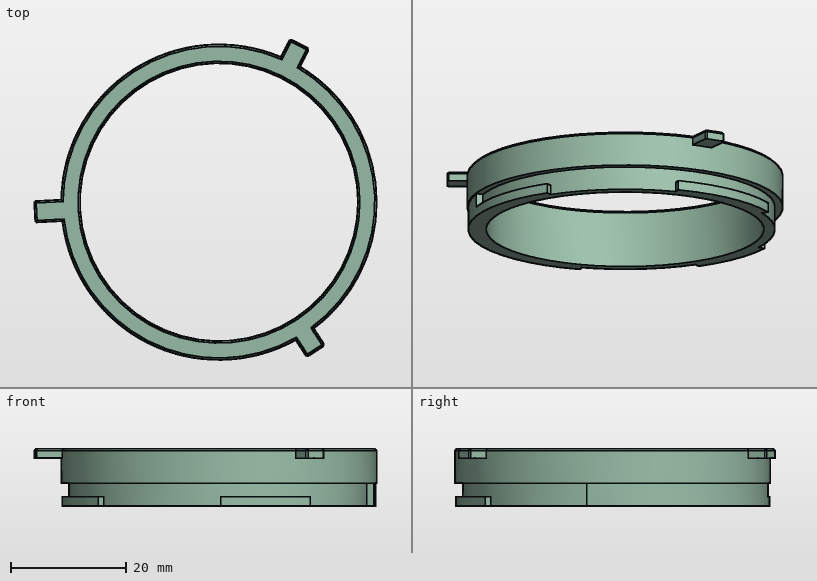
import cadquery as cq
import math

bore_radius = 48.2 / 2
rim_radius = 54.8 / 2
neck_radius = 26.05
total_height = 10.0
neck_height = 4.0
top_chamfer = 0.35

tab_width = 3.75
tab_thickness = 1.65
tab_corner_chamfer = 0.3
tabs = [(183, 32.05), (303, 30.85), (63, 30.85)]

lug_radius = 27.2
lug_height = 1.65
lug_spans = [(82.4, 124), (173.6, 219.7), (270.7, 305.7)]

stop_span = (-9.5, 82.4)

overlap = 0.6


def disc(radius, height, base=0):
    return cq.Workplane("XY").workplane(offset=base).circle(radius).extrude(height)


def tab(angle, reach):
    """Straight radial tab with a flat end and bevelled outer corners."""
    root = neck_radius - overlap
    return (
        cq.Workplane("XY")
        .workplane(offset=total_height - tab_thickness)
        .center((root + reach) / 2, 0)
        .rect(reach - root, tab_width)
        .extrude(tab_thickness)
        .edges("|Z and >X")
        .chamfer(tab_corner_chamfer)
        .rotate((0, 0, 0), (0, 0, 1), angle)
    )


def polar(radius, angle):
    return (radius * math.cos(math.radians(angle)), radius * math.sin(math.radians(angle)))


def ring_sector(start, end, height):
    """Curved block standing on the bottom plane, from inside the neck to the lug radius."""
    inner = neck_radius - overlap
    middle = (start + end) / 2
    return (
        cq.Workplane("XY")
        .moveTo(*polar(inner, start))
        .lineTo(*polar(lug_radius, start))
        .threePointArc(polar(lug_radius, middle), polar(lug_radius, end))
        .lineTo(*polar(inner, end))
        .threePointArc(polar(inner, middle), polar(inner, start))
        .close()
        .extrude(height)
    )


rim = disc(rim_radius, total_height - neck_height, neck_height)
for angle, reach in tabs:
    rim = rim.union(tab(angle, reach))
rim = rim.cut(disc(bore_radius, total_height))
rim = rim.faces(">Z").edges().chamfer(top_chamfer)

neck = disc(neck_radius, neck_height).cut(disc(bore_radius, neck_height))
for start, end in lug_spans:
    neck = neck.union(ring_sector(start, end, lug_height))
neck = neck.union(ring_sector(*stop_span, neck_height))

result = rim.union(neck)